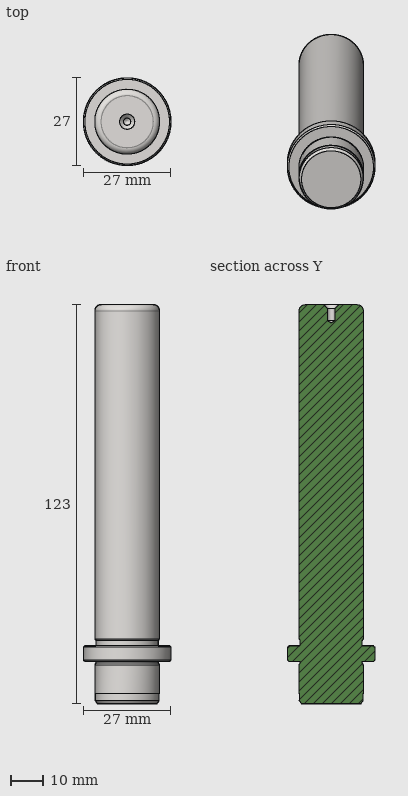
import cadquery as cq
import math

length = 123.0
pin_radius = 10.0
collar_radius = 13.5

lead_top = 3.2
lower_groove_bottom = 12.0
collar_bottom = 13.0
collar_top = 18.0
upper_groove_top = 19.9

groove_depth = 0.4
groove_radius = pin_radius - groove_depth
lower_groove_taper = 0.6
collar_chamfer = 0.5
lead_relief = 0.1
lead_radius = pin_radius - lead_relief
end_chamfer_width = 0.7
end_chamfer_height = 1.0
top_fillet = 2.0

countersink_radius = 2.3
drill_radius = 1.1
drill_depth = 4.9
countersink_angle = 90.0
drill_point_angle = 118.0


def turned_body():
    """Revolve the stepped half section of the pin around Z."""
    fillet_center_radius = pin_radius - top_fillet
    fillet_center_height = length - top_fillet
    fillet_middle = top_fillet * math.sqrt(0.5)
    return (
        cq.Workplane("XZ")
        .moveTo(0, 0)
        .lineTo(lead_radius - end_chamfer_width, 0)
        .lineTo(lead_radius, end_chamfer_height)
        .lineTo(lead_radius, lead_top)
        .lineTo(pin_radius, lead_top)
        .lineTo(pin_radius, lower_groove_bottom)
        .lineTo(groove_radius, lower_groove_bottom + lower_groove_taper)
        .lineTo(groove_radius, collar_bottom)
        .lineTo(collar_radius - collar_chamfer, collar_bottom)
        .lineTo(collar_radius, collar_bottom + collar_chamfer)
        .lineTo(collar_radius, collar_top - collar_chamfer)
        .lineTo(collar_radius - collar_chamfer, collar_top)
        .lineTo(groove_radius, collar_top)
        .lineTo(groove_radius, upper_groove_top - groove_depth)
        .lineTo(pin_radius, upper_groove_top)
        .lineTo(pin_radius, fillet_center_height)
        .threePointArc(
            (fillet_center_radius + fillet_middle, fillet_center_height + fillet_middle),
            (fillet_center_radius, length),
        )
        .lineTo(0, length)
        .close()
        .revolve(360, (0, 0, 0), (0, 1, 0))
    )


def centre_hole():
    """Blind drilled hole with a pointed bottom and a conical countersink."""
    half_angle = math.radians(countersink_angle / 2)
    countersink_depth = (countersink_radius - drill_radius) / math.tan(half_angle)
    point_height = drill_radius / math.tan(math.radians(drill_point_angle / 2))
    return (
        cq.Workplane("XZ")
        .moveTo(0, length)
        .lineTo(countersink_radius, length)
        .lineTo(drill_radius, length - countersink_depth)
        .lineTo(drill_radius, length - drill_depth)
        .lineTo(0, length - drill_depth - point_height)
        .close()
        .revolve(360, (0, 0, 0), (0, 1, 0))
    )


result = turned_body().cut(centre_hole())